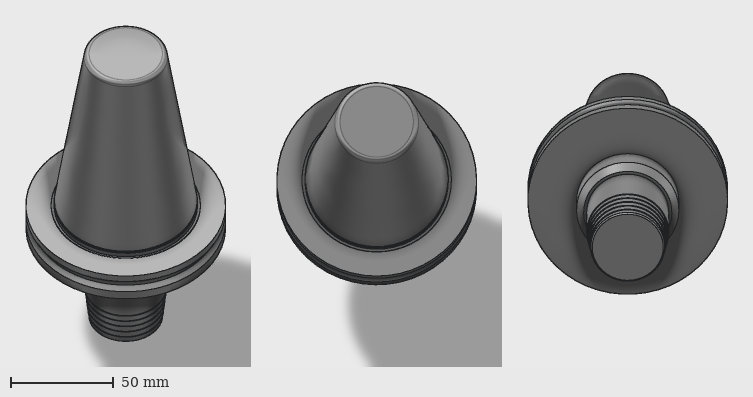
import cadquery as cq

flange_diameter = 97.5
flange_radius = flange_diameter / 2
flange_bottom = 61.5
flange_top = 77.3
gripper_radius = 46.3
gripper_mid = 69.8
gripper_floor_width = 2.7
gripper_mouth_width = 7.0

gauge_radius = 35.0
gauge_height = 80.2
taper_ratio = 7 / 24
top_height = 182.2
top_rounding = 2.5

relief_height = 1.1
relief_depth = 0.4

recess_radius = 36.5
recess_depth = 0.5

boss_radius = 25.0
boss_bottom = 50.0
boss_chamfer = 3.5
nose_radius = 20.0
nose_steps = 5
step_inset = 0.4
steps_top = 20.2
tip_chamfer = 0.7
step_length = steps_top / nose_steps


def revolve_profile(profile):
    """Turn a closed radius-height profile about the Z axis."""
    return profile.close().revolve(360, (0, 0, 0), (0, 1, 0))


def make_nose():
    """Boss and straight nose, ending in equal steps that narrow towards the tip."""
    profile = (
        cq.Workplane("XZ")
        .moveTo(0, flange_bottom)
        .lineTo(boss_radius, flange_bottom)
        .lineTo(boss_radius, boss_bottom)
        .lineTo(boss_radius - boss_chamfer, boss_bottom - boss_chamfer)
        .lineTo(nose_radius, boss_bottom - boss_chamfer)
        .lineTo(nose_radius, steps_top)
    )
    for step in range(1, nose_steps + 1):
        radius = nose_radius - step * step_inset
        profile = profile.lineTo(radius, steps_top - (step - 1) * step_length)
        profile = profile.lineTo(radius, steps_top - step * step_length)
    profile = profile.lineTo(0, 0)
    return revolve_profile(profile).faces("<Z").edges().chamfer(tip_chamfer)


def make_flange():
    """Flange disc with the gripper groove and the recess in its upper face."""
    half_floor = gripper_floor_width / 2
    half_mouth = gripper_mouth_width / 2
    profile = (
        cq.Workplane("XZ")
        .moveTo(0, flange_bottom)
        .lineTo(flange_radius, flange_bottom)
        .lineTo(flange_radius, gripper_mid - half_mouth)
        .lineTo(gripper_radius, gripper_mid - half_floor)
        .lineTo(gripper_radius, gripper_mid + half_floor)
        .lineTo(flange_radius, gripper_mid + half_mouth)
        .lineTo(flange_radius, flange_top)
        .lineTo(recess_radius, flange_top)
        .lineTo(recess_radius, flange_top - recess_depth)
        .lineTo(0, flange_top - recess_depth)
    )
    return revolve_profile(profile)


def make_shank():
    """Collar, relief groove and taper with a rounded top edge."""
    collar_bottom = flange_top - recess_depth
    collar_top = gauge_height - relief_height
    relief_radius = gauge_radius - relief_depth
    top_radius = gauge_radius - (top_height - gauge_height) * taper_ratio / 2
    profile = (
        cq.Workplane("XZ")
        .moveTo(0, collar_bottom)
        .lineTo(gauge_radius, collar_bottom)
        .lineTo(gauge_radius, collar_top)
        .lineTo(relief_radius, collar_top)
        .lineTo(relief_radius, gauge_height)
        .lineTo(gauge_radius, gauge_height)
        .lineTo(top_radius, top_height)
        .lineTo(0, top_height)
    )
    return revolve_profile(profile).faces(">Z").edges().fillet(top_rounding)


result = make_nose().union(make_flange()).union(make_shank())